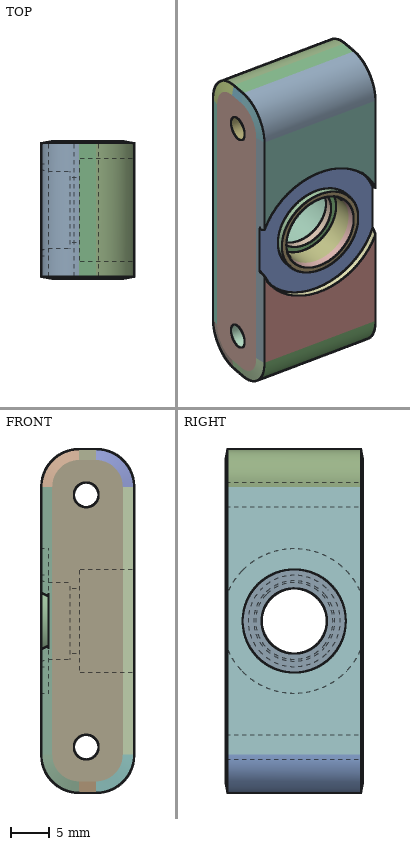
import cadquery as cq

thickness = 12.2
width = 18.0
height = 45.0
corner_radius = 5.0
edge_bevel_inset = 1.5
edge_bevel_depth = 0.25

mount_diameter = 3.2
mount_spacing = 33.0
mount_x = 5.9

recess_diameter = 18.95
recess_depth = 0.95
collar_diameter = 12.0

entry_diameter = 10.58
entry_depth = 0.8
front_bore_diameter = 10.1
front_bore_depth = 3.8
lip_diameter = 8.5
lip_thickness = 1.2
rear_bore_diameter = 13.5


def make_body():
    """Rounded bar with a shallow bevel around both Y ends."""
    return (
        cq.Workplane("XY")
        .box(thickness, width, height)
        .edges("|Y")
        .fillet(corner_radius)
        .faces("<Y or >Y")
        .chamfer(edge_bevel_inset, edge_bevel_depth)
        .translate((thickness / 2, 0, 0))
    )


def x_cylinder(diameter, start, length):
    """Cylinder along X beginning at X = start."""
    return cq.Workplane("YZ", origin=(start, 0, 0)).circle(diameter / 2).extrude(length)


def make_front_recess():
    """Ring-shaped cut between the recess wall and the collar."""
    disc = x_cylinder(recess_diameter, 0, recess_depth)
    return disc.cut(x_cylinder(collar_diameter, 0, recess_depth))


def make_stepped_bore():
    """Tapered entry, front bore, narrow lip and wide rear bore, revolved about X."""
    lip_end = front_bore_depth + lip_thickness
    return (
        cq.Workplane("XY")
        .moveTo(0, 0)
        .lineTo(0, entry_diameter / 2)
        .lineTo(entry_depth, front_bore_diameter / 2)
        .lineTo(front_bore_depth, front_bore_diameter / 2)
        .lineTo(front_bore_depth, lip_diameter / 2)
        .lineTo(lip_end, lip_diameter / 2)
        .lineTo(lip_end, rear_bore_diameter / 2)
        .lineTo(thickness, rear_bore_diameter / 2)
        .lineTo(thickness, 0)
        .close()
        .revolve(360, (0, 0, 0), (1, 0, 0))
    )


def make_mount_holes():
    """Pair of pins, one near each Z end, running through the width."""
    return (
        cq.Workplane("XZ")
        .pushPoints([(mount_x, side * mount_spacing / 2) for side in (-1, 1)])
        .circle(mount_diameter / 2)
        .extrude(width / 2, both=True)
    )


result = make_body().cut(make_front_recess()).cut(make_stepped_bore()).cut(make_mount_holes())